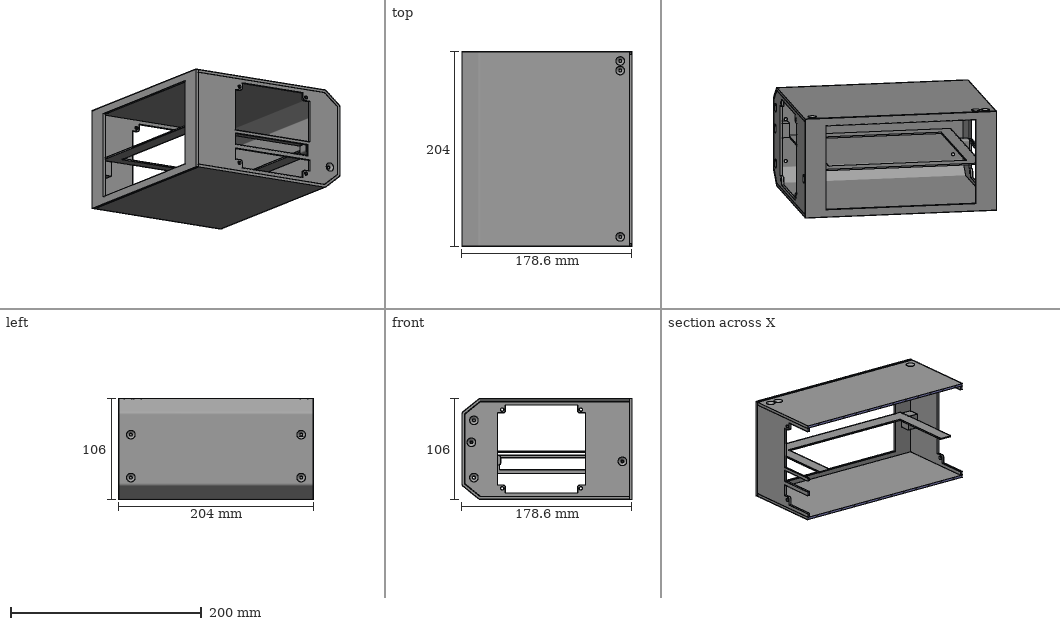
import cadquery as cq
import math

LENGTH = 178.58
WIDTH = 204.0
HEIGHT = 106.0

COVER_WALL = 3.0
COVER_TOP = 52.8
BEVEL_START_Z = 38.0
BEVEL_END_X = 18.2
BEND_RADIUS = 4.0

PANEL_THICKNESS = 2.5
PANEL_GAP = 0.1
PLATE_THICKNESS = 3.0
PLATE_INNER_X = LENGTH - PLATE_THICKNESS
PLATE_WINDOW_Y = 160.0
PLATE_WINDOW_Z = 90.0
CORNER_RELIEF_X = 1.5
CORNER_RELIEF_Y = 3.0
PANEL_INNER_Y = WIDTH / 2 - PANEL_THICKNESS

SCREW_HOLE = 3.0
SCREW_HEAD = 9.0
HEAD_DEPTH = 2.4
TAPPED_HOLE = 2.0
TAPPED_DEPTH = 8.0

COVER_TOP_SCREW_X = 166.0
COVER_TOP_SCREW_YS = (-92.2, 82.2, 92.2)
COVER_LEFT_SCREW_Y = 89.25
COVER_LEFT_SCREW_ZS = (15.0, -30.0)
LOWER_SCREW = (12.7, -30.0)
UPPER_SCREW = (12.7, 30.0)
LEFT_BLOCK_SCREW = (10.0, 7.0)
RIGHT_BLOCK_SCREW = (168.3, -13.0)

FAN_X = 83.5
FAN_SIZE = 92.0
FAN_HOLE_SPACING = 82.5
FAN_HOLE = 3.3
FAN_EAR = 8.25
FAN_EAR_RADIUS = 2.5

CROSSBAR_TOP = -6.1
CROSSBAR_CHAMFER = 0.8
SLOT_LEFT = 39.6
SLOT_TOP = -9.4
SLOT_BOTTOM = -21.6
CROSSBAR_BOTTOM = -25.8

CONNECTOR_RIGHT = 40.8
CONNECTOR_LENGTH = 12.0
CONNECTOR_DEPTH = 12.0
CONNECTOR_TOP = CROSSBAR_TOP - CROSSBAR_CHAMFER
CONNECTOR_BOTTOM = -16.7
CONNECTOR_RADIUS = 2.0

SHELF_TOP = -2.2
SHELF_THICKNESS = 1.5
SHELF_WIDTH = 173.0
SHELF_END_BORDER = 13.0
SHELF_SIDE_BORDER = 16.0

BLOCK_SIZE = 12.0


def box(x_min, x_max, y_min, y_max, z_min, z_max):
    size = (x_max - x_min, y_max - y_min, z_max - z_min)
    return cq.Workplane("XY").box(*size, centered=False).translate((x_min, y_min, z_min))


def screw_cutter(point, direction):
    """Countersunk hole from a point on the outer face, going into the wall."""
    plane = cq.Plane(origin=point, normal=direction)
    head = cq.Solid.makeCone(SCREW_HEAD / 2, SCREW_HOLE / 2, HEAD_DEPTH, plane.origin, plane.zDir)
    shank = cq.Solid.makeCylinder(SCREW_HOLE / 2, COVER_WALL, plane.origin, plane.zDir)
    return head.fuse(shank)


def bevelled_outline(inset):
    """Corner points of the cover section with its left, bevelled and flat sides moved inwards."""
    rise = COVER_TOP - BEVEL_START_Z
    slope = rise / BEVEL_END_X
    bevel_shift = inset * math.hypot(rise, BEVEL_END_X) / BEVEL_END_X
    top = COVER_TOP - inset
    start_z = BEVEL_START_Z - bevel_shift + slope * inset
    end_x = (top - BEVEL_START_Z + bevel_shift) / slope
    return [
        (PLATE_INNER_X, top),
        (end_x, top),
        (inset, start_z),
        (inset, -start_z),
        (end_x, -top),
        (PLATE_INNER_X, -top),
    ]


def extruded_outline(points, y_min, y_max):
    return cq.Workplane("XZ", origin=(0, y_max, 0)).polyline(points).close().extrude(y_max - y_min)


def bend_corners(solid, radius):
    """Round the lengthwise edges away from the side plate, where the sheet is bent."""
    zone = cq.selectors.BoxSelector((-1, -WIDTH, -HEIGHT), (PLATE_INNER_X - 1, WIDTH, HEIGHT))
    return solid.edges("|Y").edges(zone).fillet(radius)


def make_cover():
    outer = extruded_outline(bevelled_outline(0), -WIDTH / 2, WIDTH / 2)
    inner = extruded_outline(bevelled_outline(COVER_WALL), -WIDTH / 2, WIDTH / 2)
    outer = bend_corners(outer, BEND_RADIUS)
    inner = bend_corners(inner, BEND_RADIUS - COVER_WALL)
    cover = outer.cut(inner)
    for y in COVER_TOP_SCREW_YS:
        cover = cover.cut(screw_cutter((COVER_TOP_SCREW_X, y, COVER_TOP), (0, 0, -1)))
    for z in COVER_LEFT_SCREW_ZS:
        for y in (-COVER_LEFT_SCREW_Y, COVER_LEFT_SCREW_Y):
            cover = cover.cut(screw_cutter((0, y, z), (1, 0, 0)))
    return cover


def panel_blank(y_min):
    blank = extruded_outline(bevelled_outline(COVER_WALL + PANEL_GAP), y_min, y_min + PANEL_THICKNESS)
    return bend_corners(blank, BEND_RADIUS - COVER_WALL)


def fan_opening(y_min):
    half = FAN_SIZE / 2
    y_max = y_min + PANEL_THICKNESS
    opening = box(FAN_X - half, FAN_X + half, y_min, y_max, -half, half)
    ear_offset = half - FAN_EAR / 2
    ears = (
        cq.Workplane("XZ", origin=(FAN_X, y_max, 0))
        .rect(2 * ear_offset, 2 * ear_offset, forConstruction=True)
        .vertices()
        .rect(FAN_EAR, FAN_EAR)
        .extrude(PANEL_THICKNESS)
    )
    opening = opening.cut(ears)
    inner_corner = half - FAN_EAR
    zone = cq.selectors.BoxSelector(
        (FAN_X - inner_corner - 1, y_min - 1, -inner_corner - 1),
        (FAN_X + inner_corner + 1, y_max + 1, inner_corner + 1),
    )
    opening = opening.edges("|Y").edges(zone).fillet(FAN_EAR_RADIUS)
    holes = (
        cq.Workplane("XZ", origin=(FAN_X, y_max, 0))
        .rect(FAN_HOLE_SPACING, FAN_HOLE_SPACING, forConstruction=True)
        .vertices()
        .circle(FAN_HOLE / 2)
        .extrude(PANEL_THICKNESS)
    )
    return opening.union(holes)


def make_front_panel():
    panel = panel_blank(-WIDTH / 2).cut(fan_opening(-WIDTH / 2))
    for x, z in (LOWER_SCREW, UPPER_SCREW, LEFT_BLOCK_SCREW, RIGHT_BLOCK_SCREW):
        panel = panel.cut(screw_cutter((x, -WIDTH / 2, z), (0, 1, 0)))
    return panel


def make_rear_panel():
    y_min, y_max = PANEL_INNER_Y, WIDTH / 2
    left, right = FAN_X - FAN_SIZE / 2, FAN_X + FAN_SIZE / 2
    bars = box(left, right, y_min, y_max, CROSSBAR_BOTTOM, CROSSBAR_TOP)
    bars = bars.edges("<Y and >Z").chamfer(CROSSBAR_CHAMFER)
    bars = bars.cut(box(SLOT_LEFT, right, y_min, y_max, SLOT_BOTTOM, SLOT_TOP))
    panel = panel_blank(y_min).cut(fan_opening(y_min)).union(bars)
    x, z = LOWER_SCREW
    return panel.cut(screw_cutter((x, y_max, z), (0, -1, 0)))


def make_side_plate():
    plate = box(PLATE_INNER_X, LENGTH, -WIDTH / 2, WIDTH / 2, -HEIGHT / 2, HEIGHT / 2)
    half_y, half_z = PLATE_WINDOW_Y / 2, PLATE_WINDOW_Z / 2
    plate = plate.cut(box(PLATE_INNER_X, LENGTH, -half_y, half_y, -half_z, half_z))
    relief_size = (CORNER_RELIEF_X, CORNER_RELIEF_Y, HEIGHT / 2 - COVER_TOP)
    for y_sign in (-1, 1):
        for z_sign in (-1, 1):
            relief = cq.Workplane("XY").box(*relief_size).translate((
                PLATE_INNER_X + CORNER_RELIEF_X / 2,
                y_sign * (WIDTH - CORNER_RELIEF_Y) / 2,
                z_sign * (HEIGHT / 2 + COVER_TOP) / 2,
            ))
            plate = plate.cut(relief)
    return plate


def make_shelf():
    z_min, z_max = SHELF_TOP - SHELF_THICKNESS, SHELF_TOP
    half = SHELF_WIDTH / 2
    inner = half - SHELF_END_BORDER
    x_min, x_max = COVER_WALL, PLATE_INNER_X
    frame = box(x_min, x_max, -half, half, z_min, z_max)
    return frame.cut(box(x_min + SHELF_SIDE_BORDER, x_max - SHELF_SIDE_BORDER, -inner, inner, z_min, z_max))


def make_screw_block(screw, x_min, z_min, z_max):
    """Block against the inside of the front panel, with a tapped hole for its screw."""
    x, z = screw
    block = box(x_min, x_min + BLOCK_SIZE, -PANEL_INNER_Y, BLOCK_SIZE - PANEL_INNER_Y, z_min, z_max)
    tapped = cq.Solid.makeCylinder(
        TAPPED_HOLE / 2, TAPPED_DEPTH, cq.Vector(x, -PANEL_INNER_Y, z), cq.Vector(0, 1, 0)
    )
    return block.cut(tapped)


def make_connector():
    block = box(
        CONNECTOR_RIGHT - CONNECTOR_LENGTH, CONNECTOR_RIGHT,
        PANEL_INNER_Y - CONNECTOR_DEPTH, PANEL_INNER_Y,
        CONNECTOR_BOTTOM, CONNECTOR_TOP,
    )
    return block.edges("|Y").fillet(CONNECTOR_RADIUS)


cover = make_cover()
front_panel = make_front_panel()
rear_panel = make_rear_panel()
side_plate = make_side_plate()
shelf = make_shelf()
left_block = make_screw_block(
    LEFT_BLOCK_SCREW,
    COVER_WALL,
    SHELF_TOP,
    LEFT_BLOCK_SCREW[1] + BLOCK_SIZE / 2,
)
right_block = make_screw_block(
    RIGHT_BLOCK_SCREW,
    PLATE_INNER_X - BLOCK_SIZE,
    RIGHT_BLOCK_SCREW[1] - BLOCK_SIZE / 2,
    SHELF_TOP - SHELF_THICKNESS,
)
connector = make_connector()

result = cq.Compound.makeCompound([
    cover.val(), front_panel.val(), rear_panel.val(), side_plate.val(),
    shelf.val(), left_block.val(), right_block.val(), connector.val(),
])